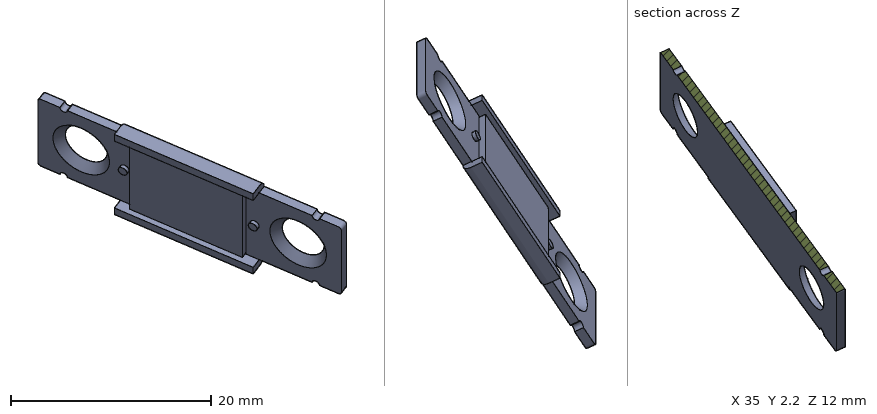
import cadquery as cq

plate_length = 35.0
plate_height = 10.0
plate_thickness = 1.0
corner_radius = 0.42

overall_height = 12.0
overall_depth = 2.2
flange_length = 16.0
flange_thickness = (overall_height - plate_height) / 2
bend_radius = 0.95

pad_length = 13.0
pad_height = 9.6
pad_thickness = 0.75
pin_diameter = 1.0
pin_length = 0.42
pin_offset = 7.5

hole_offset = 12.5
hole_front_diameter = 6.5
hole_back_diameter = 4.8
notch_offset = 14.52
notch_radius = 0.42

front_y = -plate_thickness
overlap = plate_thickness / 2


def plate():
    """Flat plate with rounded corners."""
    blank = cq.Workplane("XY").box(plate_length, plate_thickness, plate_height)
    return blank.edges("|Y").fillet(corner_radius).translate((0, front_y / 2, 0))


def flanged_channel():
    """Central web with both flanges and rounded outer bends."""
    block = cq.Workplane("XY").box(flange_length, overall_depth, overall_height)
    block = block.translate((0, -overall_depth / 2, 0))
    block = block.edges("|X and >Y").fillet(bend_radius)
    opening_depth = overall_depth - plate_thickness
    opening = cq.Workplane("XY").box(flange_length, opening_depth, overall_height - 2 * flange_thickness)
    return block.cut(opening.translate((0, front_y - opening_depth / 2, 0)))


def pad():
    """Rectangular pad, rooted in the plate."""
    depth = pad_thickness + overlap
    block = cq.Workplane("XY").box(pad_length, depth, pad_height)
    return block.translate((0, front_y + overlap - depth / 2, 0))


def pin(x):
    """Round locating pin, rooted in the plate."""
    base = cq.Workplane("XZ", origin=(x, front_y + overlap, 0))
    return base.circle(pin_diameter / 2).extrude(pin_length + overlap)


def tapered_hole(x):
    """Conical cutter, wide at the front of the plate and narrow at the back."""
    return cq.Workplane("XY").add(
        cq.Solid.makeCone(
            hole_front_diameter / 2,
            hole_back_diameter / 2,
            plate_thickness,
            pnt=cq.Vector(x, front_y, 0),
            dir=cq.Vector(0, 1, 0),
        )
    )


def notch(x, z):
    """Half-round cutter through a long edge of the plate."""
    return cq.Workplane("XZ", origin=(x, 0, z)).circle(notch_radius).extrude(plate_thickness)


result = plate().union(flanged_channel()).union(pad())
for side in (-1, 1):
    result = result.union(pin(side * pin_offset))
    result = result.cut(tapered_hole(side * hole_offset))
    for edge in (-1, 1):
        result = result.cut(notch(side * notch_offset, edge * plate_height / 2))